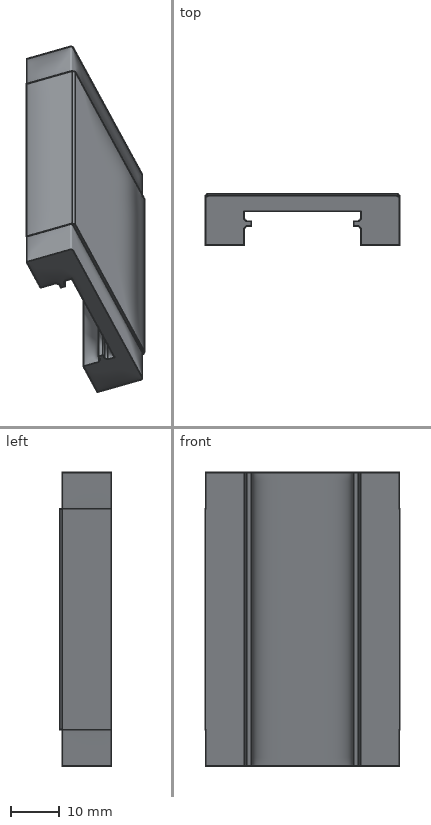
import cadquery as cq

width = 40.0
depth = 10.6
height = 60.4

end_length = 7.5
end_side_step = 0.1
end_back_step = 0.5
band_chamfer = 0.5
end_fillet = 0.5

channel_width = 24.0
channel_depth = 6.9

rib_front = 3.9
rib_thickness = 1.0
rib_reach = 1.5
rib_root_chamfer = 0.5


def make_block(block_width, block_depth, block_height):
    """Block with its front face on Y = 0, centred on X and Z."""
    return cq.Workplane("XY").box(block_width, block_depth, block_height, centered=(True, False, True))


def make_core():
    """Full-height body at the size of the ends, with rounded back corners."""
    block = make_block(width - 2 * end_side_step, depth - end_back_step, height)
    return block.faces(">Y").edges("|Z").fillet(end_fillet)


def make_band():
    """Wider middle band with chamfered back corners."""
    block = make_block(width, depth, height - 2 * end_length)
    return block.faces(">Y").edges("|Z").chamfer(band_chamfer)


def make_channel():
    return make_block(channel_width, channel_depth, height)


def make_rib(side):
    """Full-height rib with chamfered roots; side is -1 for the -X wall, +1 for the +X wall."""
    wall = side * channel_width / 2
    root = wall - side * rib_root_chamfer
    tip = wall - side * rib_reach
    rib_back = rib_front + rib_thickness
    outline = [
        (wall, rib_front - rib_root_chamfer),
        (root, rib_front),
        (tip, rib_front),
        (tip, rib_back),
        (root, rib_back),
        (wall, rib_back + rib_root_chamfer),
    ]
    rib = cq.Workplane("XY").workplane(offset=-height / 2).polyline(outline).close()
    return rib.extrude(height)


body = make_core().union(make_band()).cut(make_channel())
for side in (-1, 1):
    body = body.union(make_rib(side))

result = body